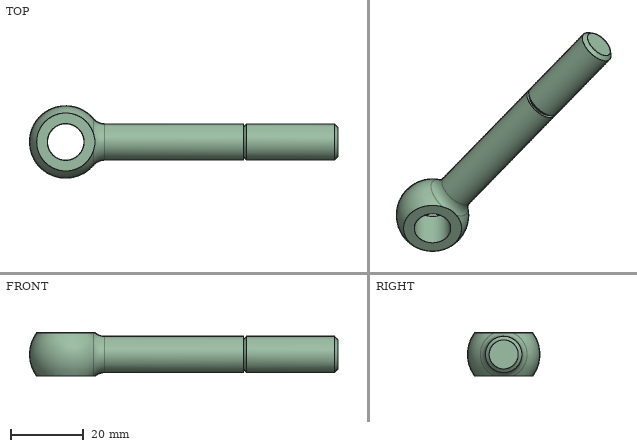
import cadquery as cq
import math

total_length = 85.0
eye_diameter = 20.0
eye_thickness = 12.0
hole_diameter = 10.0
shank_diameter = 10.0
neck_radius = 4.0
thread_length = 26.0
groove_depth = 0.85
end_chamfer = 1.0

eye_radius = eye_diameter / 2
shank_radius = shank_diameter / 2
shank_end = total_length - eye_radius
thread_start = shank_end - thread_length

neck_center_height = shank_radius + neck_radius
center_distance = eye_radius + neck_radius
neck_end = math.sqrt(center_distance**2 - neck_center_height**2)
ball_ratio = eye_radius / center_distance
neck_start = (neck_end * ball_ratio, neck_center_height * ball_ratio)


def neck_midpoint():
    """Point halfway along the concave neck arc."""
    start_angle = math.atan2(neck_start[1] - neck_center_height, neck_start[0] - neck_end)
    middle_angle = (start_angle - math.pi / 2) / 2
    return (
        neck_end + neck_radius * math.cos(middle_angle),
        neck_center_height + neck_radius * math.sin(middle_angle),
    )


def ball_and_shank():
    """Ball, neck and shank turned about X, with a square-walled 45 degree groove at the thread start."""
    half_angle = (math.pi + math.atan2(neck_start[1], neck_start[0])) / 2
    ball_midpoint = (eye_radius * math.cos(half_angle), eye_radius * math.sin(half_angle))
    return (
        cq.Workplane("XY")
        .moveTo(-eye_radius, 0)
        .threePointArc(ball_midpoint, neck_start)
        .threePointArc(neck_midpoint(), (neck_end, shank_radius))
        .lineTo(thread_start, shank_radius)
        .lineTo(thread_start, shank_radius - groove_depth)
        .lineTo(thread_start + groove_depth, shank_radius)
        .lineTo(shank_end - end_chamfer, shank_radius)
        .lineTo(shank_end, shank_radius - end_chamfer)
        .lineTo(shank_end, 0)
        .close()
        .revolve(360, (0, 0, 0), (1, 0, 0))
    )


flat_slab = cq.Workplane("XY").box(2 * total_length, 2 * eye_diameter, eye_thickness)
pin_hole = cq.Workplane("XY").cylinder(eye_thickness, hole_diameter / 2)

result = ball_and_shank().intersect(flat_slab).cut(pin_hole)